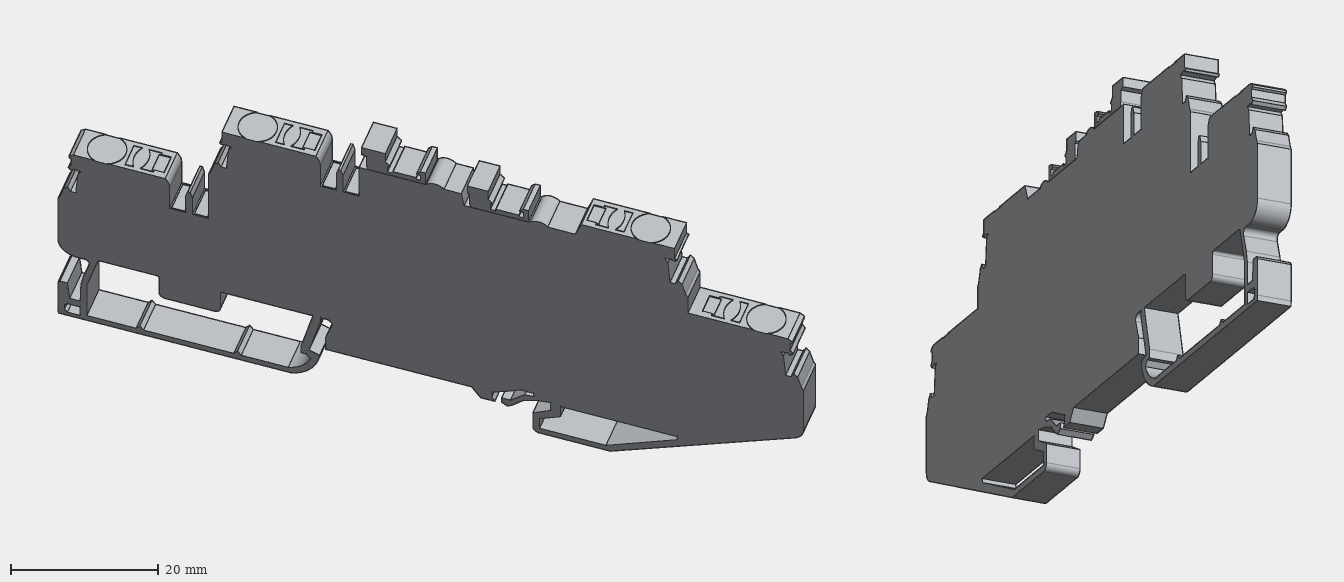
import cadquery as cq

LENGTH = 107.2
THICKNESS = 5.0

LOWER_DECK = 32.7
TIER_RISE = 12.3
UPPER_DECK = LOWER_DECK + TIER_RISE
MARKER_DECK = 42.8
UNDERSIDE = 12.7
FOOT_ROOT = 12.2
CORE_BOTTOM = 6.5
CORE_LEFT = 38.5
TIER_LEFT = 21.7
TIER_RIGHT = 90.6
LEFT_WALL_FILLET = 2.8
RIGHT_WALL_FILLET = 2.1
LOWER_LEDGE = 23.1
UPPER_LEDGE = 35.8

SLOT_WIDTH = 5.6
SLOT_DEPTH = 5.8
SLOT_LEAD_WIDTH = 0.6
SLOT_LEAD_DEPTH = 1.6
PIN_WIDTH = 1.0
PIN_HEIGHT = 4.3
PIN_SHOULDER = 3.3
PIN_TIP_WIDTH = 0.3
FLOOR_RECESS_MARGIN = 0.2

CARRIER_THICKNESS = 4.9
CARRIER_LENGTH = 8.5
CARRIER_HEIGHT = 4.1
FIRST_CARRIER_X = 44.4
SECOND_CARRIER_X = 59.2
FIRST_CAP_OVERHANG = 0.8
SECOND_CAP_OVERHANG = 0.3
BUMP_WIDTH = 2.6
BUMP_HEIGHT = 0.59
FIRST_BUMP_X = 54.3
SECOND_BUMP_X = 69.2

FOOT_FLOOR = 1.0
ARM_LOW = (36.1, 5.6)
ARM_HIGH = (37.8, 11.7)
WINDOW_LEFT = 5.8
PAD_LEFT = 14.6
PAD_RIGHT = 23.4
PAD_BOTTOM = 8.5
WINDOW_FILLET = 0.4
PAD_FILLET = 0.9
RIDGE_POSITIONS = (11.8, 25.8)
RIDGE_HALF_WIDTH = 0.5
RIDGE_HEIGHT = 0.6

RIGHT_SOLE = 0.8
RIGHT_FOOT_LEFT = 68.3
RIGHT_WALL_BOTTOM = 13.6
RIGHT_FLOOR = 1.7
RIGHT_SOLE_FILLET = 1.0

RECESS_DEPTH = 0.1
ENTRY_RADIUS = 2.7
ENTRY_X = 6.2
BUTTON_START = 9.4
BUTTON_END = 13.5
BUTTON_WIDTH = 3.6
BUTTON_TAB_START = 13.2
BUTTON_TAB_END = 14.9
BUTTON_TAB_DEPTH = 0.2
BUTTON_TAB_WIDTH = 3.0
LENS_X = 11.2
LENS_END_WIDTH = 1.0
LENS_BULGE = 0.5

FIRST_SLOT_RIGHT = TIER_LEFT
SECOND_SLOT_RIGHT = 2 * TIER_LEFT


def extrude_profile(wire, thickness=THICKNESS):
    """Extrude a closed X-Z wire equally to both sides of Y = 0."""
    return wire.extrude(thickness / 2, both=True)


def plate(points, thickness=THICKNESS):
    return extrude_profile(cq.Workplane("XZ").polyline(points).close(), thickness)


def round_corner(solid, x, z, radius):
    """Fillet the Y-running edge at one corner of a profile."""
    return solid.edges(cq.selectors.NearestToPointSelector((x, 0, z))).fillet(radius)


def side_steps(wall_x, ledge_z, inward, lip):
    """Latch notch and lip climbing from the top of a side wall; inward is +1 or -1."""
    notch = [(0, 0), (0.3, 0.5), (0.9, 2.4), (1.4, 2.9), (1.8, 2.1), (2.6, 2.1)]
    notch += [(2.9, 6.0), (3.3, 6.6)]
    return [(wall_x + inward * dx, ledge_z + dz) for dx, dz in notch + lip]


def build_body():
    lower_lip = [(2.4, 6.8), (1.9, 6.4), (1.5, 6.9), (1.9, 7.5), (1.9, 8.7), (1.6, 8.9)]
    lower_lip += [(1.6, 9.2), (2.3, LOWER_DECK - LOWER_LEDGE)]
    upper_lip = [(2.5, 6.9), (1.8, 6.6), (1.6, 7.0), (1.9, 7.2), (1.9, UPPER_DECK - UPPER_LEDGE)]
    left_lower = side_steps(0, LOWER_LEDGE, 1, lower_lip)
    left_upper = side_steps(TIER_LEFT, UPPER_LEDGE, 1, upper_lip)
    right_upper = side_steps(TIER_RIGHT, UPPER_LEDGE, -1, upper_lip)
    right_lower = side_steps(LENGTH, LOWER_LEDGE, -1, lower_lip)

    marker_trough = [
        (58.0, UPPER_DECK),
        (58.5, MARKER_DECK),
        (74.4, MARKER_DECK),
        (75.3, UPPER_DECK),
    ]
    sloped_underside = [(LENGTH, RIGHT_WALL_BOTTOM), (79.5, RIGHT_SOLE), (RIGHT_FOOT_LEFT, RIGHT_SOLE)]
    right_foot_inside = [(RIGHT_FOOT_LEFT, 4.5), (70.9, 5.9), (70.9, 7.5)]
    spring_arm = [
        (69.0, 7.2),
        (66.9, 6.4),
        (65.3, 4.9),
        (64.7, 4.5),
        (63.8, 5.0),
        (63.8, 5.9),
        (65.1, 5.9),
        (67.1, 7.7),
        (68.4, 7.8),
        (68.4, 8.5),
        (66.5, 8.5),
        (65.1, 7.7),
    ]
    rail_barb = [(62.4, CORE_BOTTOM), (62.4, 5.6), (62.8, 4.8), (60.8, 4.8), (59.5, CORE_BOTTOM)]
    core = [(CORE_LEFT, CORE_BOTTOM), (CORE_LEFT, UNDERSIDE), (4.8, UNDERSIDE)]
    left_corner = [(4.2, FOOT_ROOT), (0, FOOT_ROOT)]

    outline = left_lower + [(TIER_LEFT, LOWER_DECK)] + left_upper + marker_trough
    outline += right_upper[::-1] + [(TIER_RIGHT, LOWER_DECK)] + right_lower[::-1]
    outline += sloped_underside + right_foot_inside + spring_arm + rail_barb + core + left_corner
    body = plate(outline)
    body = round_corner(body, 0, FOOT_ROOT, LEFT_WALL_FILLET)
    body = round_corner(body, LENGTH, RIGHT_WALL_BOTTOM, RIGHT_WALL_FILLET)
    return round_corner(body, RIGHT_FOOT_LEFT, RIGHT_SOLE, RIGHT_SOLE_FILLET)


def right_foot_window():
    return plate(
        [
            (72.3, 7.2),
            (89.1, 7.2),
            (89.0, 6.5),
            (78.8, RIGHT_FLOOR),
            (69.3, RIGHT_FLOOR),
            (69.3, 3.6),
            (72.3, 5.1),
        ]
    )


def plug_slot(right_x, deck_z):
    """Slot open at the top, with a rounded lead-in at its left corner."""
    left_x = right_x - SLOT_WIDTH
    floor_z = deck_z - SLOT_DEPTH
    wire = (
        cq.Workplane("XZ")
        .moveTo(left_x, floor_z)
        .lineTo(left_x, deck_z - SLOT_LEAD_DEPTH)
        .threePointArc(
            (left_x - SLOT_LEAD_WIDTH / 3, deck_z - SLOT_LEAD_DEPTH * 0.4),
            (left_x - SLOT_LEAD_WIDTH, deck_z),
        )
        .lineTo(right_x, deck_z)
        .lineTo(right_x, floor_z)
        .close()
    )
    return extrude_profile(wire)


def slot_pin(slot_right_x, deck_z):
    middle = slot_right_x - SLOT_WIDTH / 2
    floor_z = deck_z - SLOT_DEPTH
    half = PIN_WIDTH / 2
    tip = PIN_TIP_WIDTH / 2
    return plate(
        [
            (middle - half, floor_z),
            (middle - half, floor_z + PIN_SHOULDER),
            (middle - tip, floor_z + PIN_HEIGHT),
            (middle + tip, floor_z + PIN_HEIGHT),
            (middle + half, floor_z + PIN_SHOULDER),
            (middle + half, floor_z),
        ]
    )


def slot_floor_recess(slot_right_x, deck_z):
    """Shallow rectangular recess in the slot floor on each side of the pin."""
    gap = (SLOT_WIDTH - PIN_WIDTH) / 2
    recess = cq.Workplane("XY").box(
        gap - 2 * FLOOR_RECESS_MARGIN, THICKNESS - 2 * FLOOR_RECESS_MARGIN, 2 * RECESS_DEPTH
    )
    right = recess.translate((slot_right_x - gap / 2, 0, deck_z - SLOT_DEPTH))
    return right.union(right.translate((-(gap + PIN_WIDTH), 0, 0)))


def marker_carrier(left_x, base_z, overhang):
    """Capped post, thin floor and a hooked latch at the right end."""
    shape = [
        (0.1, 0),
        (0, 0.8),
        (0, 2.5),
        (-overhang, 2.7),
        (-overhang, CARRIER_HEIGHT),
        (2.7, CARRIER_HEIGHT),
        (2.7, 2.5),
        (3.3, 1.8),
        (3.0, 1.5),
        (3.0, 0.5),
        (3.8, 0.5),
        (3.8, 0.9),
        (7.1, 0.9),
        (7.1, 0.5),
        (7.7, 0.5),
        (7.7, 1.5),
        (7.2, 1.7),
        (7.7, 2.3),
        (CARRIER_LENGTH, 2.3),
        (CARRIER_LENGTH, 0),
    ]
    return plate([(left_x + dx, base_z + dz) for dx, dz in shape], CARRIER_THICKNESS)


def deck_bump(middle_x, base_z):
    half = BUMP_WIDTH / 2
    wire = (
        cq.Workplane("XZ")
        .moveTo(middle_x - half, base_z)
        .threePointArc((middle_x, base_z + BUMP_HEIGHT), (middle_x + half, base_z))
        .close()
    )
    return extrude_profile(wire)


def left_foot():
    """Solid left foot from the clip post to the latch arm, before its window is cut."""
    wire = (
        cq.Workplane("XZ")
        .moveTo(0.1, 0)
        .lineTo(33.7, 0)
        .threePointArc((36.3, 1.7), (37.6, 5.0))
        .lineTo(*ARM_LOW)
        .lineTo(*ARM_HIGH)
        .lineTo(ARM_HIGH[0], UNDERSIDE)
        .lineTo(3.8, UNDERSIDE)
        .lineTo(3.8, FOOT_ROOT)
        .threePointArc((4.4, 11.9), (4.5, 11.2))
        .lineTo(3.6, 8.6)
        .lineTo(3.3, 6.9)
        .lineTo(3.2, 3.5)
        .lineTo(1.7, 3.5)
        .lineTo(1.4, 6.5)
        .lineTo(0.3, 6.5)
        .lineTo(0, 6.1)
        .lineTo(0, 0.8)
        .close()
    )
    return extrude_profile(wire)


def left_foot_window():
    """Opening inside the left foot; the body's pad hangs into it from above."""
    wire = (
        cq.Workplane("XZ")
        .moveTo(4.2, FOOT_FLOOR)
        .lineTo(33.1, FOOT_FLOOR)
        .threePointArc((35.1, 2.0), (36.4, 3.9))
        .lineTo(35.7, 4.6)
        .lineTo(35.0, 4.6)
        .lineTo(35.0, 5.9)
        .lineTo(36.7, UNDERSIDE)
        .lineTo(PAD_RIGHT, UNDERSIDE)
        .lineTo(PAD_RIGHT, PAD_BOTTOM)
        .lineTo(PAD_LEFT, PAD_BOTTOM)
        .lineTo(PAD_LEFT, UNDERSIDE)
        .lineTo(WINDOW_LEFT, UNDERSIDE)
        .lineTo(4.2, 7.1)
        .close()
    )
    window = extrude_profile(wire)
    for x in (WINDOW_LEFT, PAD_LEFT, PAD_RIGHT):
        window = round_corner(window, x, UNDERSIDE, WINDOW_FILLET)
    for x in (PAD_LEFT, PAD_RIGHT):
        window = round_corner(window, x, PAD_BOTTOM, PAD_FILLET)
    return window


def left_arm_relief():
    """Round-topped slit that frees the latch arm from the body."""
    wire = (
        cq.Workplane("XZ")
        .moveTo(*ARM_LOW)
        .lineTo(*ARM_HIGH)
        .threePointArc((38.6, UNDERSIDE), (39.5, 11.7))
        .lineTo(CORE_LEFT, 8.9)
        .lineTo(CORE_LEFT, ARM_LOW[1])
        .close()
    )
    return extrude_profile(wire)


def floor_ridge(middle_x):
    return plate(
        [
            (middle_x - RIDGE_HALF_WIDTH, FOOT_FLOOR),
            (middle_x, FOOT_FLOOR + RIDGE_HEIGHT),
            (middle_x + RIDGE_HALF_WIDTH, FOOT_FLOOR),
        ]
    )


def clip_hole():
    return plate([(1.4, 0.6), (3.2, 0.6), (3.2, 2.4), (1.4, 2.4), (1.0, 1.9), (1.0, 1.1)])


def deck_recess(wall_x, deck_z, inward):
    """Round wire entry and release button, with a lens-shaped island in the button."""

    def at(x):
        return wall_x + inward * x

    def sunk_box(start, end, width, depth):
        box = cq.Workplane("XY").box(end - start, width, 2 * depth)
        return box.translate((at((start + end) / 2), 0, deck_z))

    floor = cq.Workplane("XY").workplane(offset=deck_z - RECESS_DEPTH)
    entry = floor.center(at(ENTRY_X), 0).circle(ENTRY_RADIUS).extrude(2 * RECESS_DEPTH)
    button = sunk_box(BUTTON_START, BUTTON_END, BUTTON_WIDTH, RECESS_DEPTH)
    tab = sunk_box(BUTTON_TAB_START, BUTTON_TAB_END, BUTTON_TAB_WIDTH, BUTTON_TAB_DEPTH)
    half = LENS_END_WIDTH / 2
    end_y = BUTTON_WIDTH / 2
    lens = (
        floor.moveTo(at(LENS_X - half), -end_y)
        .threePointArc((at(LENS_X - half - LENS_BULGE), 0), (at(LENS_X - half), end_y))
        .lineTo(at(LENS_X + half), end_y)
        .threePointArc((at(LENS_X + half + LENS_BULGE), 0), (at(LENS_X + half), -end_y))
        .close()
        .extrude(2 * RECESS_DEPTH)
    )
    return entry.union(button.cut(lens)).union(tab)


result = build_body().cut(right_foot_window())

result = result.union(left_foot())
result = result.cut(left_foot_window()).cut(left_arm_relief()).cut(clip_hole())
for ridge_x in RIDGE_POSITIONS:
    result = result.union(floor_ridge(ridge_x))

for slot_right_x, deck_z in ((FIRST_SLOT_RIGHT, LOWER_DECK), (SECOND_SLOT_RIGHT, UPPER_DECK)):
    result = result.cut(plug_slot(slot_right_x, deck_z)).union(slot_pin(slot_right_x, deck_z))
    result = result.cut(slot_floor_recess(slot_right_x, deck_z))

result = result.union(marker_carrier(FIRST_CARRIER_X, UPPER_DECK, FIRST_CAP_OVERHANG))
result = result.union(marker_carrier(SECOND_CARRIER_X, MARKER_DECK, SECOND_CAP_OVERHANG))
result = result.union(deck_bump(FIRST_BUMP_X, UPPER_DECK))
result = result.union(deck_bump(SECOND_BUMP_X, MARKER_DECK))

for wall_x, deck_z, inward in (
    (0, LOWER_DECK, 1),
    (TIER_LEFT, UPPER_DECK, 1),
    (TIER_RIGHT, UPPER_DECK, -1),
    (LENGTH, LOWER_DECK, -1),
):
    result = result.cut(deck_recess(wall_x, deck_z, inward))